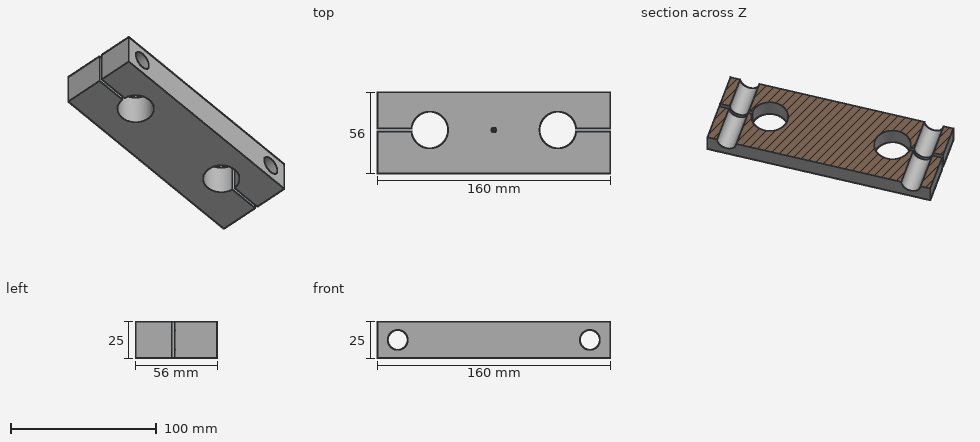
import cadquery as cq
import math

length = 160.0
width = 56.0
height = 25.0

bore_diameter = 25.0
bore_spacing = 88.0
bore_line_y = 2.0
slot_width = 2.0

bolt_hole_diameter = 13.5
bolt_hole_spacing = 132.0

centre_mouth_diameter = 3.35
centre_pilot_diameter = 1.6
centre_cone_angle = 60.0
centre_depth = 3.5


def make_block():
    return cq.Workplane("XY").box(length, width, height)


def make_clamp_opening():
    """Bore and slot at the +X end, through the full height."""
    bore_x = bore_spacing / 2
    slot_length = length / 2 - bore_x
    bore = (
        cq.Workplane("XY")
        .center(bore_x, bore_line_y)
        .circle(bore_diameter / 2)
        .extrude(height / 2, both=True)
    )
    slot = (
        cq.Workplane("XY")
        .center(bore_x + slot_length / 2, bore_line_y)
        .rect(slot_length, slot_width)
        .extrude(height / 2, both=True)
    )
    return bore.union(slot)


def make_bolt_hole():
    """Bolt hole at the +X end, through the full width."""
    return (
        cq.Workplane("XZ")
        .center(bolt_hole_spacing / 2, 0)
        .circle(bolt_hole_diameter / 2)
        .extrude(width / 2, both=True)
    )


def make_centre_hole():
    """Conical mouth leading into a flat-bottomed blind pilot, revolved about its vertical axis."""
    mouth_radius = centre_mouth_diameter / 2
    pilot_radius = centre_pilot_diameter / 2
    cone_depth = (mouth_radius - pilot_radius) / math.tan(math.radians(centre_cone_angle / 2))
    return (
        cq.Workplane("XZ", origin=(0, bore_line_y, height / 2))
        .moveTo(0, 0)
        .lineTo(mouth_radius, 0)
        .lineTo(pilot_radius, -cone_depth)
        .lineTo(pilot_radius, -centre_depth)
        .lineTo(0, -centre_depth)
        .close()
        .revolve(360, (0, 0, 0), (0, 1, 0))
    )


result = make_block()
for end_cutter in (make_clamp_opening(), make_bolt_hole()):
    result = result.cut(end_cutter).cut(end_cutter.mirror("YZ"))
result = result.cut(make_centre_hole())